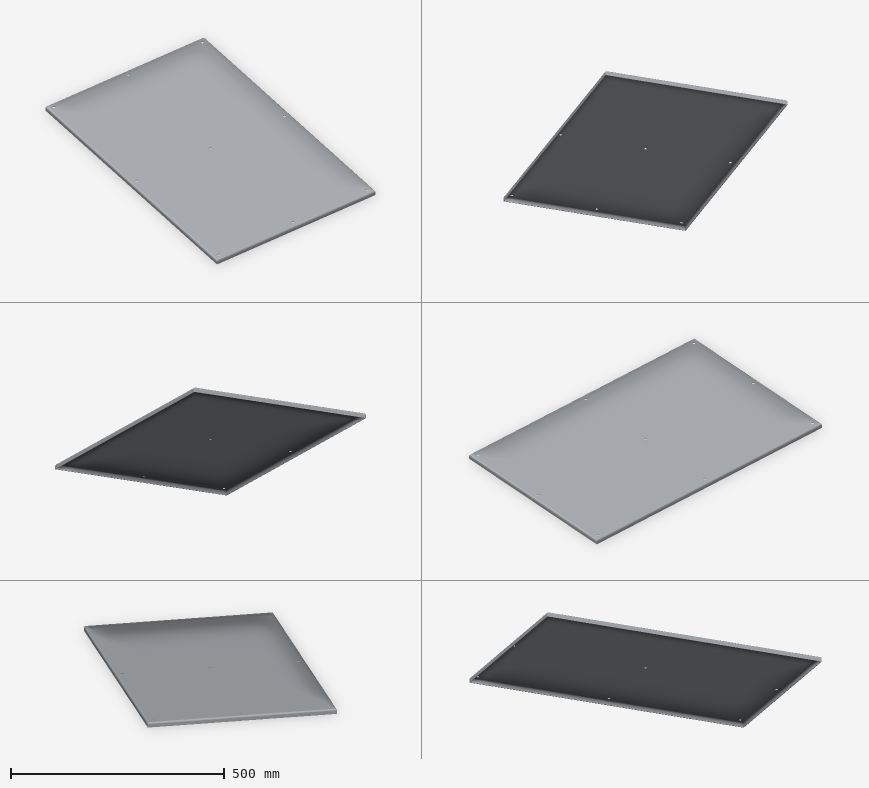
import cadquery as cq

LENGTH = 701.0
WIDTH = 453.0
HEIGHT = 12.0
SHEET_THICKNESS = 1.5

CORNER_RADIUS = 1.2
INNER_BEND_RADIUS = 3.0
OUTER_BEND_RADIUS = INNER_BEND_RADIUS + SHEET_THICKNESS

HOLE_DIAMETER = 7.0
HOLE_INSET = 15.5
HOLES_PER_SIDE = 3
HOLE_PITCH_X = (LENGTH - 2 * HOLE_INSET) / (HOLES_PER_SIDE - 1)
HOLE_PITCH_Y = (WIDTH - 2 * HOLE_INSET) / (HOLES_PER_SIDE - 1)


def make_block(length, width, height):
    """Plain block standing on Z = 0, centred in X and Y."""
    return cq.Workplane("XY").box(length, width, height, centered=(True, True, False))


def round_top_rim(block, radius):
    """Round all edges around the top face."""
    return block.faces(">Z").edges().fillet(radius)


def make_outer_body():
    """Solid outer form with rounded upright corners and a rounded top rim."""
    block = make_block(LENGTH, WIDTH, HEIGHT).edges("|Z").fillet(CORNER_RADIUS)
    return round_top_rim(block, OUTER_BEND_RADIUS)


def make_cavity():
    """Space below the sheet, inset by the sheet thickness and open at the bottom."""
    block = make_block(
        LENGTH - 2 * SHEET_THICKNESS,
        WIDTH - 2 * SHEET_THICKNESS,
        HEIGHT - SHEET_THICKNESS,
    )
    return round_top_rim(block, INNER_BEND_RADIUS)


def make_hole_cutters():
    """Grid of cylinders that pierce the top sheet."""
    return (
        cq.Workplane("XY")
        .rarray(HOLE_PITCH_X, HOLE_PITCH_Y, HOLES_PER_SIDE, HOLES_PER_SIDE)
        .circle(HOLE_DIAMETER / 2)
        .extrude(HEIGHT)
    )


result = make_outer_body().cut(make_cavity()).cut(make_hole_cutters())